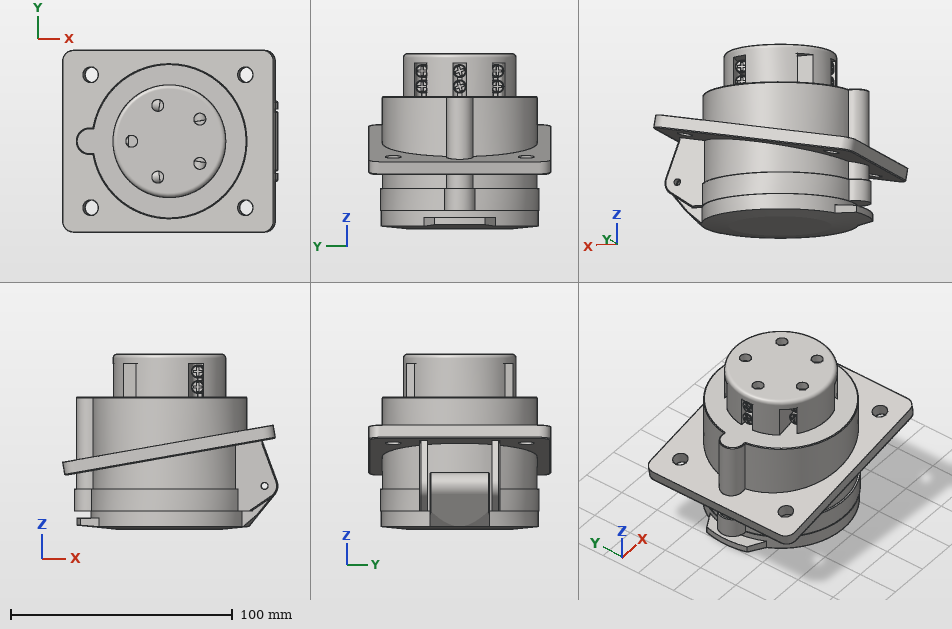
import cadquery as cq
import math

seat_z = 8.25
rim_top_z = 18.1
housing_top_z = 59.7
housing_radius = 34.9
keyway_x = -35.9
keyway_radius = 6.0
rim_offset = 0.9
housing_chamfer = 0.4

flange_tilt = 10.0
flange_length = 96.4
flange_width = 82.0
flange_thickness = 6.0
flange_corner_radius = 5.0
flange_top_x = -0.7
flange_top_z = 38.6
flange_chamfer = 0.5
mount_hole_diameter = 7.0
mount_pitch_x = 70.75
mount_pitch_y = 59.9

hinge_x = 42.9
hinge_z = 19.6
hinge_radius = 6.0
hinge_hole_diameter = 3.0
ear_outer_y = 18.1
ear_inner_y = 14.5
ear_top_x = 41.7
ear_foot_x = 36.9
ear_root_x = 27.2
ear_chamfer = 0.6

lid_radius = 35.4
lid_flat_radius = 23.3
lid_edge_z = 1.3
tab_radius = 41.7
tab_top_z = 5.0
tab_tip_half_width = 11.5
tab_root_half_width = 16.0
arm_width = 26.8
arm_foot_x = 35.8
arm_root_x = 29.1
arm_chamfer = 0.5
arm_flare = 1.1

core_top_z = 79.0
core_radius = 25.4
core_fillet = 1.9
slot_top_z = 74.7
slot_radius = 3.1
terminal_count = 5
terminal_circle_radius = 17.0
access_hole_diameter = 5.3

screw_radius = 2.9
screw_centre_z = 67.6
screw_pitch = 7.0
screw_chamfer = 0.4
cross_length = 4.0
cross_width = 1.1
cross_depth = 0.8
post_width = 1.9
post_thickness = 1.0

terminal_settings = [
    (98.5, -0.8, 6.8, 0.0),
    (173.0, -0.8, 6.8, 0.0),
    (180.0, 1.5, 7.8, 20.0),
    (187.0, -0.8, 6.8, 0.0),
    (261.5, -0.8, 6.8, 0.0),
]


def keyed_cylinder(bottom_z, top_z, offset):
    """A round column with the keyway rib on its -X side, grown outward by offset."""
    height = top_z - bottom_z
    rib_radius = keyway_radius + offset
    base = cq.Workplane("XY").workplane(offset=bottom_z)
    column = base.circle(housing_radius + offset).extrude(height)
    rib_round = base.center(keyway_x, 0).circle(rib_radius).extrude(height)
    rib_neck = base.center(keyway_x / 2, 0).rect(-keyway_x, 2 * rib_radius).extrude(height)
    return column.union(rib_round).union(rib_neck)


def tangent_point(x, z, side):
    """Where the line from (x, z) touches the hinge circle; side is +1 or -1."""
    dx = x - hinge_x
    dz = z - hinge_z
    angle = math.atan2(dz, dx) + side * math.acos(hinge_radius / math.hypot(dx, dz))
    return hinge_x + hinge_radius * math.cos(angle), hinge_z + hinge_radius * math.sin(angle)


def flange_plane():
    """The plane of the flange's upper face."""
    tilt = math.radians(flange_tilt)
    return cq.Plane(
        origin=(flange_top_x, 0, flange_top_z),
        xDir=(math.cos(tilt), 0, math.sin(tilt)),
        normal=(-math.sin(tilt), 0, math.cos(tilt)),
    )


def make_flange():
    underside = cq.DirectionMinMaxSelector(flange_plane().zDir, False)
    outline = cq.Sketch().rect(flange_length, flange_width).vertices().fillet(flange_corner_radius)
    return (
        cq.Workplane(flange_plane())
        .placeSketch(outline)
        .extrude(-flange_thickness)
        .faces(underside)
        .chamfer(flange_chamfer)
    )


def mount_holes():
    return (
        cq.Workplane(flange_plane())
        .rect(mount_pitch_x, mount_pitch_y, forConstruction=True)
        .vertices()
        .circle(mount_hole_diameter / 2)
        .extrude(-flange_thickness)
    )


def hinge_hole():
    return (
        cq.Workplane("XZ")
        .center(hinge_x, hinge_z)
        .circle(hinge_hole_diameter / 2)
        .extrude(flange_width / 2, both=True)
    )


def make_ear(side):
    """One hinge ear under the flange; side is +1 for +Y and -1 for -Y."""
    tilt = math.tan(math.radians(flange_tilt))
    mid_flange_z = flange_top_z - flange_thickness / 2
    ear_top_z = mid_flange_z + (ear_top_x - flange_top_x) * tilt
    root_top_z = mid_flange_z + (ear_root_x - flange_top_x) * tilt
    underside_z = ear_top_z - flange_thickness / 2
    upper = tangent_point(ear_top_x, underside_z, -1)
    lower = tangent_point(ear_foot_x, seat_z, 1)
    ear = (
        cq.Workplane("XZ", origin=(0, side * ear_inner_y, 0))
        .moveTo(ear_root_x, seat_z)
        .lineTo(ear_foot_x, seat_z)
        .lineTo(*lower)
        .threePointArc((hinge_x + hinge_radius, hinge_z), upper)
        .lineTo(ear_top_x, underside_z)
        .lineTo(ear_top_x, ear_top_z)
        .lineTo(ear_root_x, root_top_z)
        .close()
        .extrude(-side * (ear_outer_y - ear_inner_y))
    )
    outer_face = ">Y" if side > 0 else "<Y"
    return ear.faces(outer_face).edges("not (|X or |Z)").chamfer(ear_chamfer)


def make_housing():
    column = keyed_cylinder(seat_z, housing_top_z, 0).faces(">Z").chamfer(housing_chamfer)
    rim = keyed_cylinder(seat_z, rim_top_z, rim_offset)
    rim_gap = cq.Workplane("XY").box(
        2 * hinge_x, 2 * ear_outer_y, rim_top_z, centered=(False, True, False)
    )
    housing = column.union(rim.cut(rim_gap)).union(make_flange()).cut(mount_holes())
    for side in (1, -1):
        housing = housing.union(make_ear(side))
    return housing.cut(hinge_hole())


def lid_cone_z(radius):
    """Height of the lid's conical underside at a radius."""
    return lid_edge_z * (radius - lid_flat_radius) / (lid_radius - lid_flat_radius)


def make_tab():
    """The finger tab on the -X side, with an arched tip and slanted sides."""
    tip_x = -math.sqrt(tab_radius**2 - tab_tip_half_width**2)
    root_x = -math.sqrt(lid_radius**2 - tab_root_half_width**2)
    tab = (
        cq.Workplane("XY")
        .moveTo(root_x, tab_root_half_width)
        .lineTo(tip_x, tab_tip_half_width)
        .threePointArc((-tab_radius, 0), (tip_x, -tab_tip_half_width))
        .lineTo(root_x, -tab_root_half_width)
        .close()
        .extrude(tab_top_z)
    )
    cone = (
        cq.Workplane("XZ")
        .moveTo(0, 0)
        .lineTo(lid_flat_radius, 0)
        .lineTo(tab_radius, lid_cone_z(tab_radius))
        .lineTo(tab_radius, tab_top_z)
        .lineTo(0, tab_top_z)
        .close()
        .revolve()
    )
    return tab.intersect(cone)


def make_arm():
    """The arm that carries the lid on the hinge, its lower corners cut by a flaring cone."""
    contact = tangent_point(arm_foot_x, lid_edge_z, 1)
    arm = (
        cq.Workplane("XZ")
        .moveTo(arm_root_x, lid_edge_z)
        .lineTo(arm_foot_x, lid_edge_z)
        .lineTo(*contact)
        .threePointArc((hinge_x, hinge_z + hinge_radius), (hinge_x - hinge_radius, hinge_z))
        .lineTo(hinge_x - hinge_radius, seat_z)
        .lineTo(arm_root_x, seat_z)
        .close()
        .extrude(arm_width / 2, both=True)
        .faces(">Y or <Y")
        .edges("not (|X or |Z)")
        .chamfer(arm_chamfer)
    )
    flare_top_z = hinge_z + 2 * hinge_radius
    flare_top_radius = arm_foot_x + arm_flare * (flare_top_z - lid_edge_z)
    flare = (
        cq.Workplane("XZ")
        .moveTo(0, lid_edge_z)
        .lineTo(arm_foot_x, lid_edge_z)
        .lineTo(flare_top_radius, flare_top_z)
        .lineTo(0, flare_top_z)
        .close()
        .revolve()
    )
    return arm.intersect(flare)


def make_lid():
    disc = (
        cq.Workplane("XZ")
        .moveTo(0, 0)
        .lineTo(lid_flat_radius, 0)
        .lineTo(lid_radius, lid_edge_z)
        .lineTo(lid_radius, seat_z)
        .lineTo(0, seat_z)
        .close()
        .revolve()
    )
    return disc.union(make_tab()).union(make_arm()).cut(hinge_hole())


def terminal_axis(index):
    """X and Y of a terminal on the terminal circle."""
    step = 2 * math.pi / terminal_count
    angle = (index + 0.5) * step
    return terminal_circle_radius * math.cos(angle), terminal_circle_radius * math.sin(angle)


def place_terminal(shape, index):
    """Move a shape drawn with its slot opening along +X to its place in the core."""
    direction = terminal_settings[index][0]
    x, y = terminal_axis(index)
    return shape.rotate((0, 0, 0), (0, 0, 1), direction).translate((x, y, 0))


def terminal_slot():
    """A slot with a round inner end, open along +X and at its foot."""
    base = cq.Workplane("XY").workplane(offset=housing_top_z)
    height = slot_top_z - housing_top_z
    round_end = base.circle(slot_radius).extrude(height)
    length = core_radius
    channel = base.center(length / 2, 0).rect(length, 2 * slot_radius).extrude(height)
    access_hole = base.circle(access_hole_diameter / 2).extrude(core_top_z - housing_top_z)
    return round_end.union(channel).union(access_hole)


def make_core():
    core = (
        cq.Workplane("XY")
        .workplane(offset=housing_top_z)
        .circle(core_radius)
        .extrude(core_top_z - housing_top_z)
        .faces(">Z")
        .edges()
        .fillet(core_fillet)
    )
    for index in range(terminal_count):
        core = core.cut(place_terminal(terminal_slot(), index))
    return core


def screw_head(start, end, turn):
    """A screw head along +X at the height Z = 0, with a cross recess in its end."""
    head = (
        cq.Workplane("YZ", origin=(start, 0, 0))
        .circle(screw_radius)
        .extrude(end - start)
        .faces(">X")
        .chamfer(screw_chamfer)
    )
    for angle in (turn, turn + 90):
        groove = (
            cq.Workplane("YZ", origin=(end, 0, 0))
            .rect(cross_length, cross_width)
            .extrude(-cross_depth)
            .rotate((0, 0, 0), (1, 0, 0), angle)
        )
        head = head.cut(groove)
    return head


def make_terminal(index):
    """A post standing on the housing with two screw heads, one above the other."""
    start, end, turn = terminal_settings[index][1:]
    post_height = screw_centre_z + screw_pitch / 2 - housing_top_z
    terminal = cq.Workplane("XY", origin=(start, 0, housing_top_z)).box(
        post_thickness, post_width, post_height, centered=(False, True, False)
    )
    for offset in (-screw_pitch / 2, screw_pitch / 2):
        head = screw_head(start, end, turn).translate((0, 0, screw_centre_z + offset))
        terminal = terminal.union(head)
    return place_terminal(terminal, index)


housing = make_housing()
lid = make_lid()
core = make_core()
terminals = [make_terminal(index).val() for index in range(terminal_count)]

result = cq.Compound.makeCompound([housing.val(), lid.val(), core.val(), *terminals])